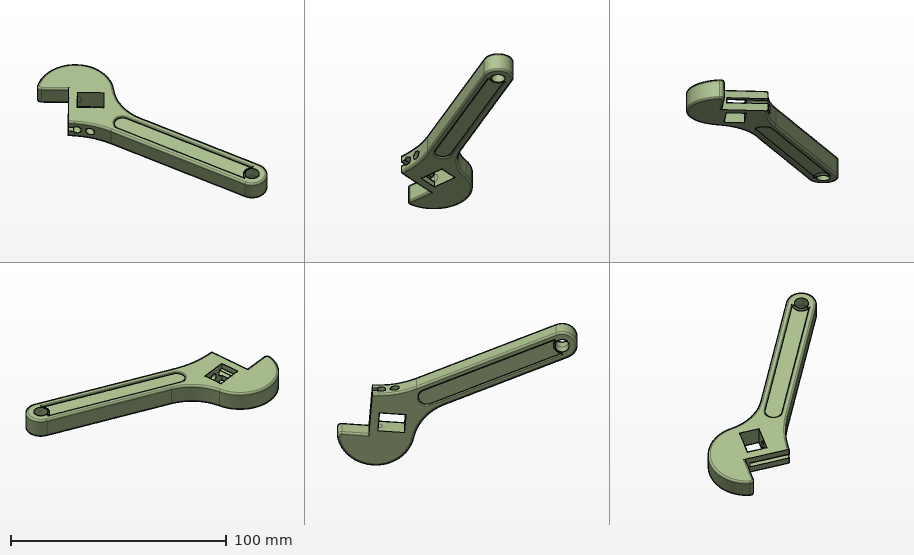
import cadquery as cq
import math


thickness = 9.5
handle_width = 14.0
handle_radius = handle_width / 2
edge_radius = 1.0
hang_hole_diameter = 6.5
overall_length = 122.4

head_radius = 18.0
head_x = handle_radius - overall_length + head_radius
head_y = handle_radius
neck_x = -62.9
jaw_tip_radius = 2.0

mouth_angle = 28
mouth_x = -100.9
mouth_y = head_y
heel_y = -11.9
heel_angle = 24
lower_neck_radius = 42.8

window_length = 12.4
window_width = 9.4
window_inset = 4.0
window_drop = 2.2
bore_diameter = 4.0
axle_inset = window_inset + window_length / 2
axle_drop = window_drop + window_width / 2
rail_slot_height = 2.5
heel_reach = 30.6

recess_width = 8.0
recess_depth = 1.0
recess_start_x = -72.5
recess_end_x = -2.1
recess_rim_radius = 0.5
boss_radius = 4.0

mouth_sin = math.sin(math.radians(mouth_angle))
mouth_cos = math.cos(math.radians(mouth_angle))


def point_on_circle(center, radius, degrees):
    angle = math.radians(degrees)
    return (center[0] + radius * math.cos(angle), center[1] + radius * math.sin(angle))


head_center = (head_x, head_y)
mouth_corner = (mouth_x, mouth_y)
heel = (mouth_x + (mouth_y - heel_y) * mouth_sin / mouth_cos, heel_y)

to_head = (head_x - mouth_x, head_y - mouth_y)
along_jaw = -to_head[0] * mouth_cos - to_head[1] * mouth_sin
off_jaw = to_head[1] * mouth_cos - to_head[0] * mouth_sin
jaw_length = along_jaw + math.sqrt(head_radius**2 - off_jaw**2)
jaw_tip = (mouth_x - jaw_length * mouth_cos, mouth_y - jaw_length * mouth_sin)

neck_dx = neck_x - head_x
neck_radius = (neck_dx**2 - head_radius**2) / (2 * head_radius)
neck_center = (neck_x, handle_radius + neck_radius)
neck_angle = math.degrees(math.atan2(neck_radius, neck_dx))
head_end = point_on_circle(head_center, head_radius, neck_angle)
neck_middle = point_on_circle(neck_center, neck_radius, (180 + neck_angle + 270) / 2)
head_middle = point_on_circle(head_center, head_radius, 135)

heel_sin = math.sin(math.radians(heel_angle))
heel_cos = math.cos(math.radians(heel_angle))
heel_flat_end_y = -handle_radius - lower_neck_radius * (1 - heel_cos)
heel_flat_end = (heel[0] + (heel_flat_end_y - heel_y) * heel_cos / heel_sin, heel_flat_end_y)
lower_neck_center = (heel_flat_end[0] + lower_neck_radius * heel_sin, -handle_radius - lower_neck_radius)
lower_neck_middle = point_on_circle(lower_neck_center, lower_neck_radius, 90 + heel_angle / 2)


def make_blank():
    """Wrench outline with a rounded jaw tip and rounded rims; the rail face keeps sharp edges."""
    blank = (
        cq.Workplane("XY")
        .moveTo(0, -handle_radius)
        .threePointArc((handle_radius, 0), (0, handle_radius))
        .lineTo(neck_x, handle_radius)
        .threePointArc(neck_middle, head_end)
        .threePointArc(head_middle, jaw_tip)
        .lineTo(*mouth_corner)
        .lineTo(*heel)
        .lineTo(*heel_flat_end)
        .threePointArc(lower_neck_middle, (lower_neck_center[0], -handle_radius))
        .close()
        .extrude(thickness / 2, both=True)
    )
    blank = blank.edges(cq.selectors.NearestToPointSelector((*jaw_tip, 0))).fillet(jaw_tip_radius)

    rail_x = (mouth_x + heel[0]) / 2
    rail_y = (mouth_y + heel_y) / 2
    upper_rail_edge = cq.selectors.NearestToPointSelector((rail_x, rail_y, thickness / 2))
    lower_rail_edge = cq.selectors.NearestToPointSelector((rail_x, rail_y, -thickness / 2))
    rounded_rims = cq.selectors.InverseSelector(upper_rail_edge + lower_rail_edge)
    return blank.faces("<Z or >Z").edges(rounded_rims).fillet(edge_radius)


def make_recess():
    """Cutter for the upper recess: round at the head end and notched by the boss."""
    recess_radius = recess_width / 2
    round_x = recess_start_x + recess_radius
    recess = (
        cq.Workplane("XY")
        .workplane(offset=thickness / 2 - recess_depth)
        .moveTo(recess_end_x, -recess_radius)
        .lineTo(recess_end_x, recess_radius)
        .lineTo(round_x, recess_radius)
        .threePointArc((recess_start_x, 0), (round_x, -recess_radius))
        .close()
        .extrude(recess_depth)
    )
    boss = cq.Workplane("XY").circle(boss_radius).extrude(thickness)
    return recess.cut(boss)


def cut_handle(wrench):
    """Recess with rounded rims on both broad sides, and the hanging hole through the boss."""
    recess = make_recess()
    wrench = wrench.cut(recess).cut(recess.mirror("XY"))
    rim_reach = recess_width / 2 + recess_rim_radius
    rim_box = cq.selectors.BoxSelector(
        (recess_start_x - recess_rim_radius, -rim_reach, -thickness),
        (recess_end_x + recess_rim_radius, rim_reach, thickness),
    )
    wrench = wrench.faces("<Z or >Z").edges(rim_box).fillet(recess_rim_radius)
    hang_hole = cq.Workplane("XY").circle(hang_hole_diameter / 2).extrude(thickness, both=True)
    return wrench.cut(hang_hole)


mouth_plane = cq.Plane((mouth_x, mouth_y, 0), (mouth_cos, mouth_sin, 0), (0, 0, 1))


def mouth_block(inset, drop, length, width, height):
    """Block square to the mouth, placed by its distances from the mouth corner."""
    return (
        cq.Workplane(mouth_plane)
        .center(inset + length / 2, -drop - width / 2)
        .rect(length, width)
        .extrude(height / 2, both=True)
    )


def heel_bore(inset, drop):
    """Bore parallel to the rail face, open at the heel and ending at the given drop."""
    start = mouth_plane.toWorldCoords((inset, -drop))
    down_the_rail = cq.Vector(mouth_sin, -mouth_cos, 0)
    return cq.Workplane(
        cq.Solid.makeCylinder(bore_diameter / 2, heel_reach - drop, start, down_the_rail)
    )


def cut_head(wrench):
    """Worm window, keyhole rail for the sliding jaw, and the worm axle bore into the window."""
    window = mouth_block(window_inset, window_drop, window_length, window_width, thickness)
    rail_slot = mouth_block(0, window_drop, window_inset, heel_reach - window_drop, rail_slot_height)
    rail_bore = heel_bore(window_inset, window_drop)
    axle_bore = heel_bore(axle_inset, axle_drop)
    return wrench.cut(window).cut(rail_slot).cut(rail_bore).cut(axle_bore)


wrench_body = cut_head(cut_handle(make_blank()))

result = cq.Compound.makeCompound([wrench_body.solids().val()])